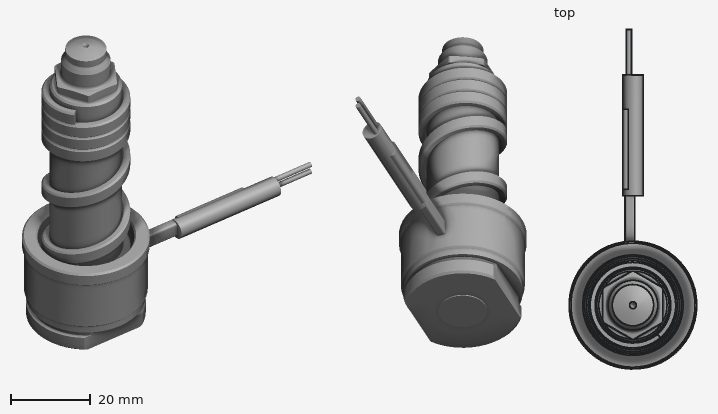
import cadquery as cq
import math

TOTAL_HEIGHT = 86.2
FOOT_RADIUS = 6.1
FOOT_HEIGHT = 0.3
BASE_RADIUS = 15.0
BASE_CHAMFER = 0.5
BASE_TOP = 4.4
NECK_RADIUS = 14.0
NECK_TOP = 6.1
FLAT_HALF_WIDTH = 12.15
BARREL_RADIUS = 15.5
BARREL_BOTTOM = 8.0
BARREL_CHAMFER = BARREL_RADIUS - BASE_RADIUS
RIM_RADIUS = 32.0 / 2
RIM_BOTTOM = 22.15
RIM_TOP = 25.5
RIM_CHAMFER = RIM_RADIUS - BARREL_RADIUS
RECESS_RADIUS = 12.15
RECESS_CHAMFER = 0.4
SEAT_CHAMFER = 0.5

COLUMN_RADIUS = 9.05
COLUMN_TOP = 74.2
COLUMN_CHAMFER = 0.5
NUT_SEAT_RADIUS = 7.0
NUT_BOTTOM = 74.7
NUT_TOP = 77.1
NUT_CORNER_TOP = 76.8
NUT_ACROSS_FLATS = 15.0
NUT_CORNER_RADIUS = 8.5
STEM_RADIUS = 6.2
STEM_TOP = 81.6
STEM_ROOT_FILLET = 0.8
SHOULDER_RADIUS = 5.7
SHOULDER_Z = 82.5
TIP_RADIUS = 5.2
TIP_BOTTOM = 83.3
DOME_BOTTOM = 85.25
DIMPLE_RADIUS = 0.9
DIMPLE_DEPTH = 0.9

WIRE_OUTER_RADIUS = 11.1
WIRE_ROOT_RADIUS = COLUMN_RADIUS - 0.3
WIRE_HEIGHT = 3.8
WIRE_CHAMFER = 0.4
WIRE_ROOT_CHAMFER = WIRE_CHAMFER + COLUMN_RADIUS - WIRE_ROOT_RADIUS
OPEN_PITCH = 18.1
CLOSED_PITCH = 3.9
OPEN_START = -412
OPEN_ANGLE = 576
BLEND_ANGLE = 128
CLOSED_ANGLE = 1098
OPEN_START_Z = 26.2
SPLINE_STEP = 12

CABLE_Z = 14.7
LEAD_END = 85.0 - RIM_RADIUS
LEAD_RADIUS = 0.7
LEAD_SPACING = 2.15
LEAD_X = -1.0
SLEEVE_RADIUS = 2.6
SLEEVE_START = 27.3
SLEEVE_END = 57.6
PAD_HEIGHT = 4.6
PAD_FILLET = 0.95
PAD_START = 29.0
PAD_END = 49.05
RIBBON_X = -0.8
RIBBON_WIDTH = 2.5
RIBBON_HEIGHT = 4.05
RIBBON_FILLET = 0.6
RIBBON_START = RECESS_RADIUS + 0.9


def rise(span, start_pitch, end_pitch):
    """Height gained over an angle while the pitch changes evenly."""
    return (start_pitch + end_pitch) / 2 * span / 360


WINDING = [
    (CLOSED_ANGLE, CLOSED_PITCH, CLOSED_PITCH),
    (BLEND_ANGLE, CLOSED_PITCH, OPEN_PITCH),
    (OPEN_ANGLE, OPEN_PITCH, OPEN_PITCH),
    (BLEND_ANGLE, OPEN_PITCH, CLOSED_PITCH),
    (CLOSED_ANGLE, CLOSED_PITCH, CLOSED_PITCH),
]
SPRING_START = OPEN_START - BLEND_ANGLE - CLOSED_ANGLE
SPRING_START_Z = OPEN_START_Z - rise(*WINDING[0]) - rise(*WINDING[1])
RECESS_FLOOR = SPRING_START_Z - WIRE_HEIGHT / 2


def make_housing():
    """Barrel with a rim and a spring recess at the top and a base with two flats at the bottom.

    The recess floor is a seat whose outer edge is beveled down toward the wall.
    """
    outline = [
        (0, 0),
        (FOOT_RADIUS, 0),
        (FOOT_RADIUS, FOOT_HEIGHT),
        (BASE_RADIUS - BASE_CHAMFER, FOOT_HEIGHT),
        (BASE_RADIUS, FOOT_HEIGHT + BASE_CHAMFER),
        (BASE_RADIUS, BASE_TOP),
        (NECK_RADIUS, BASE_TOP),
        (NECK_RADIUS, NECK_TOP),
        (BASE_RADIUS, NECK_TOP),
        (BASE_RADIUS, BARREL_BOTTOM),
        (BARREL_RADIUS, BARREL_BOTTOM + BARREL_CHAMFER),
        (BARREL_RADIUS, RIM_BOTTOM - RIM_CHAMFER),
        (RIM_RADIUS, RIM_BOTTOM),
        (RIM_RADIUS, RIM_TOP - RIM_CHAMFER),
        (BARREL_RADIUS, RIM_TOP),
        (RECESS_RADIUS + RECESS_CHAMFER, RIM_TOP),
        (RECESS_RADIUS, RIM_TOP - RECESS_CHAMFER),
        (RECESS_RADIUS, RECESS_FLOOR - SEAT_CHAMFER),
        (RECESS_RADIUS - SEAT_CHAMFER, RECESS_FLOOR),
        (0, RECESS_FLOOR),
    ]
    housing = cq.Workplane("XZ").polyline(outline).close().revolve(360, (0, 0), (0, 1))
    flat_depth = RIM_RADIUS - FLAT_HALF_WIDTH
    for side in (-1, 1):
        housing = housing.cut(
            cq.Workplane("XY")
            .center(side * (FLAT_HALF_WIDTH + flat_depth / 2), 0)
            .rect(flat_depth, 2 * RIM_RADIUS)
            .extrude(NECK_TOP)
        )
    return housing


def make_column():
    """Column from the recess floor to the domed tip, with a conical dimple on top."""
    edge_drop = TOTAL_HEIGHT - DOME_BOTTOM
    sphere_drop = (TIP_RADIUS**2 - DIMPLE_RADIUS**2 - edge_drop**2) / (2 * edge_drop)
    sphere_center_z = DOME_BOTTOM - sphere_drop
    sphere_radius = math.hypot(TIP_RADIUS, sphere_drop)
    dome_mid_radius = (TIP_RADIUS + DIMPLE_RADIUS) / 2
    dome_mid_z = sphere_center_z + math.sqrt(sphere_radius**2 - dome_mid_radius**2)
    return (
        cq.Workplane("XZ")
        .moveTo(0, RECESS_FLOOR)
        .lineTo(COLUMN_RADIUS, RECESS_FLOOR)
        .lineTo(COLUMN_RADIUS, COLUMN_TOP - COLUMN_CHAMFER)
        .lineTo(COLUMN_RADIUS - COLUMN_CHAMFER, COLUMN_TOP)
        .lineTo(NUT_SEAT_RADIUS, COLUMN_TOP)
        .lineTo(NUT_SEAT_RADIUS, NUT_TOP)
        .radiusArc((STEM_RADIUS, NUT_TOP + STEM_ROOT_FILLET), STEM_ROOT_FILLET)
        .lineTo(STEM_RADIUS, STEM_TOP)
        .lineTo(SHOULDER_RADIUS, SHOULDER_Z)
        .lineTo(TIP_RADIUS, TIP_BOTTOM)
        .lineTo(TIP_RADIUS, DOME_BOTTOM)
        .threePointArc((dome_mid_radius, dome_mid_z), (DIMPLE_RADIUS, TOTAL_HEIGHT))
        .lineTo(0, TOTAL_HEIGHT - DIMPLE_DEPTH)
        .close()
        .revolve(360, (0, 0), (0, 1))
    )


def make_nut():
    """Hexagon nut with corners toward +Y and -Y, rounded off to a circle, its top sloping outward."""
    height = NUT_TOP - NUT_BOTTOM
    plane = cq.Workplane("XY", origin=(0, 0, NUT_BOTTOM))
    hexagon = plane.polygon(6, NUT_ACROSS_FLATS, circumscribed=True).extrude(height)
    envelope = (
        cq.Workplane("XZ")
        .polyline([
            (0, NUT_BOTTOM),
            (NUT_CORNER_RADIUS, NUT_BOTTOM),
            (NUT_CORNER_RADIUS, NUT_CORNER_TOP),
            (NUT_SEAT_RADIUS, NUT_TOP),
            (0, NUT_TOP),
        ])
        .close()
        .revolve(360, (0, 0), (0, 1))
    )
    return hexagon.intersect(envelope)


def spring_section(start_angle, start_z, span, start_pitch, end_pitch):
    """Wire coiled over an angle while its pitch changes evenly."""

    def helix_edge(radius, offset):
        def point(t):
            angle = math.radians(start_angle + span * t)
            pitch_here = start_pitch + (end_pitch - start_pitch) * t
            z = start_z + offset + rise(span * t, start_pitch, pitch_here)
            return (radius * math.cos(angle), radius * math.sin(angle), z)

        steps = math.ceil(span / SPLINE_STEP)
        return cq.Workplane("XY").parametricCurve(point, N=steps, makeWire=False).val()

    half = WIRE_HEIGHT / 2
    upper_corners = [
        (WIRE_ROOT_RADIUS, half - WIRE_ROOT_CHAMFER),
        (WIRE_ROOT_RADIUS + WIRE_ROOT_CHAMFER, half),
        (WIRE_OUTER_RADIUS - WIRE_CHAMFER, half),
        (WIRE_OUTER_RADIUS, half - WIRE_CHAMFER),
    ]
    lower_corners = [(radius, -offset) for radius, offset in reversed(upper_corners)]
    corners = upper_corners + lower_corners
    edges = [helix_edge(radius, offset) for radius, offset in corners]
    faces = [cq.Face.makeRuledSurface(edge, after) for edge, after in zip(edges, edges[1:] + edges[:1])]
    for end in (0, 1):
        rim = cq.Wire.makePolygon([edge.positionAt(end) for edge in edges], close=True)
        faces.append(cq.Face.makeFromWires(rim))
    return cq.Solid.makeSolid(cq.Shell.makeShell(faces))


def make_spring():
    """All winding sections from bottom to top."""
    angle = SPRING_START
    z = SPRING_START_Z
    sections = []
    for span, start_pitch, end_pitch in WINDING:
        sections.append(spring_section(angle, z, span, start_pitch, end_pitch))
        angle += span
        z += rise(span, start_pitch, end_pitch)
    return sections


def along_cable(x, start):
    """Sketch plane across the cable; negative extrusions run toward +Y."""
    return cq.Workplane("XZ", origin=(x, start, CABLE_Z))


def make_cable():
    """Flat ribbon into a round sleeve with a side pad, and two bare leads out of its end."""
    ribbon = (
        along_cable(RIBBON_X, RIBBON_START)
        .rect(RIBBON_WIDTH, RIBBON_HEIGHT)
        .extrude(RIBBON_START - SLEEVE_END)
        .edges("|Y")
        .fillet(RIBBON_FILLET)
    )
    sleeve = along_cable(0, SLEEVE_START).circle(SLEEVE_RADIUS).extrude(SLEEVE_START - SLEEVE_END)
    pad = (
        along_cable(-SLEEVE_RADIUS / 2, PAD_START)
        .rect(SLEEVE_RADIUS, PAD_HEIGHT)
        .extrude(PAD_START - PAD_END)
        .edges("|Y and <X")
        .fillet(PAD_FILLET)
    )
    leads = (
        along_cable(LEAD_X, PAD_END)
        .pushPoints([(0, -LEAD_SPACING / 2), (0, LEAD_SPACING / 2)])
        .circle(LEAD_RADIUS)
        .extrude(PAD_END - LEAD_END)
    )
    return ribbon.union(sleeve).union(pad).union(leads)


result = make_housing().union(make_column()).union(make_nut()).union(make_cable())
for section in make_spring():
    result = result.union(cq.Workplane(section))